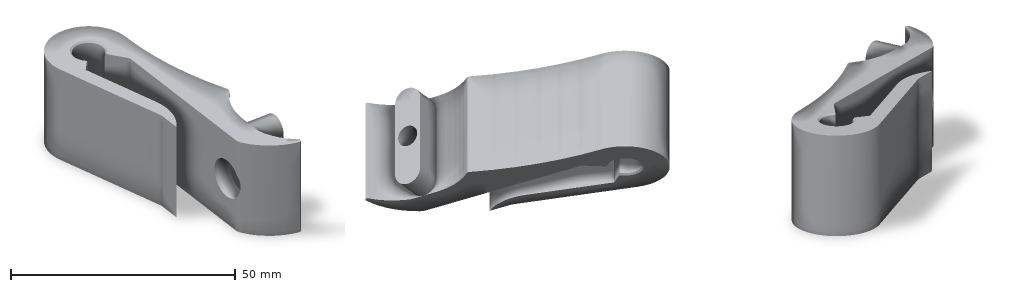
import cadquery as cq
import math

height = 24.0
heel_radius = 10.0
total_length = 67.6
total_depth = 28.8
tip_x = total_length - heel_radius

bore_radius = 3.8
bore_chamfer = 0.4

arm_angle = math.radians(15)
arm_flat_start_x = 31.0
arm_tip = (36.85, -2.0)
arm_root = (6.0, -5.1)
arm_curve_start_x = 25.9
arm_curve_middle = (31.7, 0.4)

lower_lip = (2.9, -2.5)
upper_lip = (3.1, 2.2)
jaw_corner_x = 7.85
jaw_y = 5.7

nose_start_x = 49.1
nose_curve_start = (50.1, 6.0)
nose_curve_middle = (55.4, 11.3)
tip_corner_y = 17.0
tip_top = (56.65, 17.6)
tip_land = 0.55
hook_middle = (53.1, 14.05)
hump_start = (31.55, 16.1)
hump_middle = (36.5, 13.1)
hump_end = (30.3, 16.15)
hump_peak = (30.95, 16.35)
back_radius = 75.7

pad_x = 45.35
pad_width = 6.6
pad_base_y = 12.0
pad_top_y = total_depth - heel_radius
hole_diameter = 5.0
counterbore_diameter = 9.6
counterbore_depth = 4.0


def make_body():
    """Extrude the two-armed outline with the round heel."""
    heel_tangent = (heel_radius * math.sin(arm_angle), -heel_radius * math.cos(arm_angle))
    arm_curve_start_y = arm_root[1] + (arm_curve_start_x - arm_root[0]) * math.tan(arm_angle)
    back_middle_x = hump_end[0] / 2
    back_middle_y = heel_radius + back_radius - math.sqrt(back_radius**2 - back_middle_x**2)
    outline = (
        cq.Workplane("XY")
        .moveTo(0, heel_radius)
        .threePointArc((-heel_radius, 0), heel_tangent)
        .lineTo(arm_flat_start_x, arm_tip[1])
        .lineTo(*arm_tip)
        .threePointArc(arm_curve_middle, (arm_curve_start_x, arm_curve_start_y))
        .lineTo(*arm_root)
        .lineTo(*lower_lip)
        .lineTo(*upper_lip)
        .lineTo(jaw_corner_x, jaw_y)
        .lineTo(nose_start_x, jaw_y)
        .lineTo(*nose_curve_start)
        .threePointArc(nose_curve_middle, (tip_x, tip_corner_y))
        .lineTo(tip_top[0] + tip_land, tip_top[1])
        .lineTo(*tip_top)
        .threePointArc(hook_middle, (pad_x + pad_width / 2, pad_base_y))
        .lineTo(pad_x - pad_width / 2, pad_base_y)
        .threePointArc(hump_middle, hump_start)
        .threePointArc(hump_peak, hump_end)
        .threePointArc((back_middle_x, back_middle_y), (0, heel_radius))
        .close()
    )
    return outline.extrude(height)


def make_bore():
    """Pivot bore, flared by a chamfer at both ends."""
    flare_radius = bore_radius + bore_chamfer
    return (
        cq.Workplane("XZ")
        .moveTo(0, 0)
        .lineTo(flare_radius, 0)
        .lineTo(bore_radius, bore_chamfer)
        .lineTo(bore_radius, height - bore_chamfer)
        .lineTo(flare_radius, height)
        .lineTo(0, height)
        .close()
        .revolve(360, (0, 0, 0), (0, 1, 0))
    )


def cylinder_along_y(diameter, start_y, end_y):
    """Cylinder on the screw axis between two Y positions."""
    return (
        cq.Workplane("XZ", origin=(pad_x, start_y, height / 2))
        .circle(diameter / 2)
        .extrude(start_y - end_y)
    )


pad = (
    cq.Workplane("XZ", origin=(pad_x, pad_base_y, height / 2))
    .slot2D(height, pad_width, 90)
    .extrude(pad_base_y - pad_top_y)
)

screw_hole = cylinder_along_y(hole_diameter, jaw_y, pad_top_y)
counterbore = cylinder_along_y(counterbore_diameter, jaw_y, jaw_y + counterbore_depth)

result = make_body().union(pad).cut(make_bore()).cut(screw_hole).cut(counterbore)